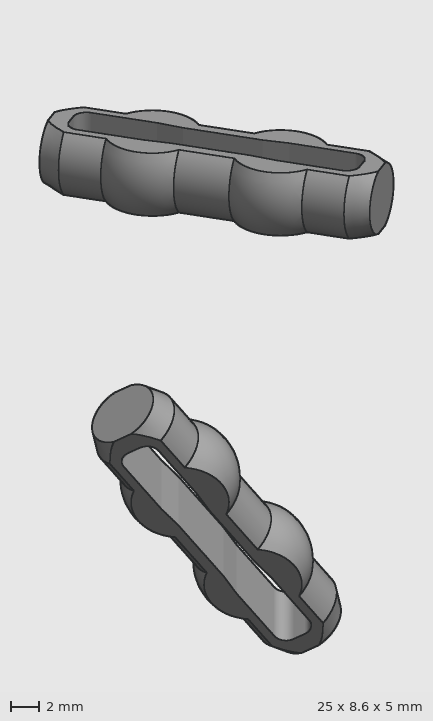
import cadquery as cq

length = 25.0
height = 5.0
bar_radius = 3.3
end_radius = 2.6
tip_length = 1.7
ball_radius = 4.3
ball_spacing = 9.7

slot_length = 22.0
slot_width = 2.95
slot_corner_radius = 1.0
waist_width = 2.65
waist_length = 6.0
waist_taper_length = 2.0

half_length = length / 2
shoulder_x = half_length - tip_length
ball_places = [(-ball_spacing / 2, 0), (ball_spacing / 2, 0)]


def round_bar():
    """Round bar along X with a conical tip at each end."""
    half_profile = [
        (-half_length, 0),
        (-half_length, end_radius),
        (-shoulder_x, bar_radius),
        (shoulder_x, bar_radius),
        (half_length, end_radius),
        (half_length, 0),
    ]
    return (
        cq.Workplane("XY")
        .polyline(half_profile)
        .close()
        .revolve(360, (0, 0, 0), (1, 0, 0))
    )


def balls():
    """Spherical swellings centred on the bar axis."""
    return cq.Workplane("XY").pushPoints(ball_places).sphere(ball_radius)


def flat_slab():
    """Slab that trims the round body to its flat top and bottom."""
    return cq.Workplane("XY").box(length, 2 * ball_radius, height)


def slot():
    """Through slot with rounded corners and a slightly narrower waist."""
    end_x = slot_length / 2
    waist_x = waist_length / 2
    taper_x = waist_x + waist_taper_length
    side_y = slot_width / 2
    waist_y = waist_width / 2
    upper_side = [
        (-end_x, side_y),
        (-taper_x, side_y),
        (-waist_x, waist_y),
        (waist_x, waist_y),
        (taper_x, side_y),
        (end_x, side_y),
    ]
    lower_side = [(x, -y) for x, y in reversed(upper_side)]
    return (
        cq.Workplane("XY")
        .polyline(upper_side + lower_side)
        .close()
        .extrude(height / 2, both=True)
        .edges("|Z and (<X or >X)")
        .fillet(slot_corner_radius)
    )


result = round_bar().union(balls()).intersect(flat_slab()).cut(slot())